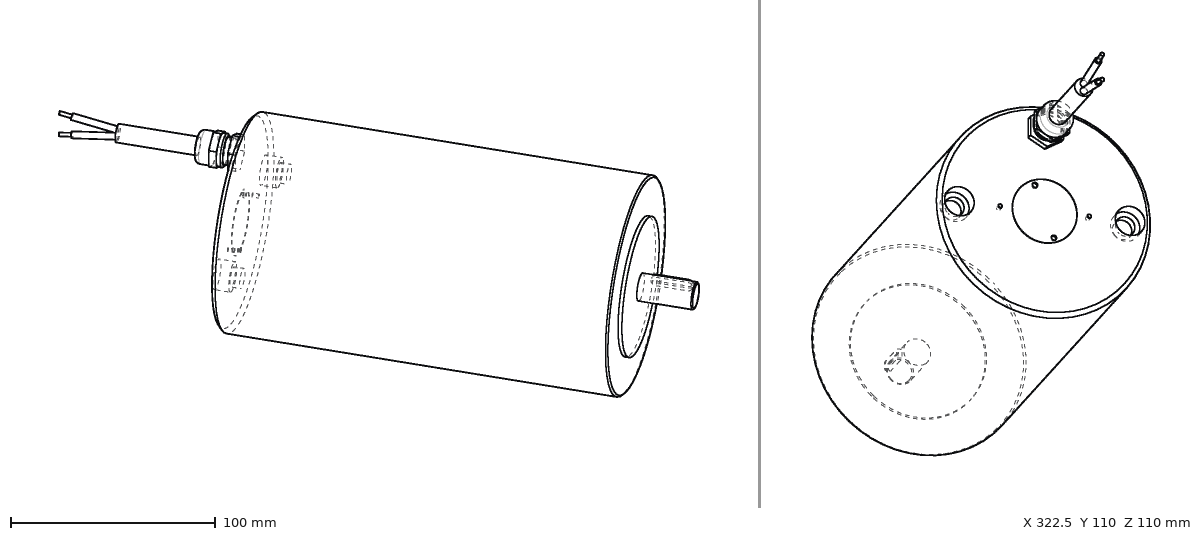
import cadquery as cq
import math

TOTAL_LENGTH = 322.5

BODY_DIAMETER = 110.0
BODY_REAR_X = 91.5
BODY_FRONT_X = 292.5
REAR_CHAMFER = 2.3
FRONT_CHAMFER = 1.0

PILOT_DIAMETER = 70.0
PILOT_HEIGHT = 2.0
SHAFT_DIAMETER = 14.0
SHAFT_CHAMFER = 0.5

KEY_START_X = 297.5
KEY_LENGTH = 21.3
KEY_WIDTH = 5.0
KEY_TOP_Y = 9.5
KEY_CHAMFER = 0.5

COVER_DIAMETER = 33.2
COVER_RECESS = 0.3
COVER_HOLE_DIAMETER = 2.6
COVER_HOLE_DEPTH = 1.5
COVER_HOLE_Y = 4.8
COVER_HOLE_Z = 13.2
SMALL_HOLE_DIAMETER = 2.0
SMALL_HOLE_DEPTH = 3.2
SMALL_HOLE_Y = 23.0
SCREW_HOLE_DIAMETER = 10.0
SCREW_HOLE_DEPTH = 13.0
COUNTERBORE_DIAMETER = 15.0
COUNTERBORE_DEPTH = 8.0
SCREW_HOLE_Y = 44.0

GLAND_Z = 42.2
GLAND_DIAMETER = 17.0
GLAND_REAR_X = 70.3
GLAND_REAR_FILLET = 2.5
GLAND_FRONT_X = 84.8
GLAND_FRONT_CHAMFER = 1.0
GLAND_NECK_DIAMETER = 14.0
HEX_ACROSS_FLATS = 17.0
CAP_NUT_X = 78.0
CAP_NUT_LENGTH = 4.0
LOCK_NUT_X = 87.7

CABLE_DIAMETER = 9.5
CABLE_REAR_X = 29.7
WIRE_DIAMETER = 3.5
CONDUCTOR_DIAMETER = 2.0
CONDUCTOR_LENGTH = 6.5
WIRE_OFFSET = 2.0
WIRE_TILT = 9.0
WIRE_EMBED = 1.5


def rod(diameter, start_x, end_x, y=0.0, z=0.0):
    """Round bar parallel to X."""
    section = cq.Workplane("YZ", origin=(start_x, y, z)).circle(diameter / 2)
    return section.extrude(end_x - start_x)


def hex_nut(start_x, end_x):
    """Hexagonal collar of the gland, with corners pointing along Z."""
    across_corners = HEX_ACROSS_FLATS / math.cos(math.pi / 6)
    section = cq.Workplane("YZ", origin=(start_x, 0, GLAND_Z)).transformed(rotate=(0, 0, 90))
    return section.polygon(6, across_corners).extrude(end_x - start_x)


def motor_body():
    body = rod(BODY_DIAMETER, BODY_REAR_X, BODY_FRONT_X)
    body = body.faces("<X").chamfer(REAR_CHAMFER)
    body = body.faces(">X").chamfer(FRONT_CHAMFER)
    return body.union(rod(PILOT_DIAMETER, BODY_FRONT_X, BODY_FRONT_X + PILOT_HEIGHT))


def shaft():
    return rod(SHAFT_DIAMETER, BODY_FRONT_X, TOTAL_LENGTH).faces(">X").chamfer(SHAFT_CHAMFER)


def shaft_key():
    middle_x = KEY_START_X + KEY_LENGTH / 2
    key = cq.Workplane("XZ", origin=(middle_x, 0, 0)).slot2D(KEY_LENGTH, KEY_WIDTH).extrude(-KEY_TOP_Y)
    return key.faces(">Y").chamfer(KEY_CHAMFER)


def rear_hole(diameter, depth, y=0.0, z=0.0):
    return rod(diameter, BODY_REAR_X, BODY_REAR_X + depth, y, z)


def rear_face_cuts():
    cuts = rear_hole(COVER_DIAMETER, COVER_RECESS)
    for side in (-1, 1):
        hole_y = side * COVER_HOLE_Y
        hole_z = side * COVER_HOLE_Z
        cuts = cuts.union(rear_hole(COVER_HOLE_DIAMETER, COVER_HOLE_DEPTH, hole_y, hole_z))
        cuts = cuts.union(rear_hole(SMALL_HOLE_DIAMETER, SMALL_HOLE_DEPTH, side * SMALL_HOLE_Y))
        cuts = cuts.union(rear_hole(COUNTERBORE_DIAMETER, COUNTERBORE_DEPTH, side * SCREW_HOLE_Y))
        cuts = cuts.union(rear_hole(SCREW_HOLE_DIAMETER, SCREW_HOLE_DEPTH, side * SCREW_HOLE_Y))
    return cuts


def cable_gland():
    barrel = rod(GLAND_DIAMETER, GLAND_REAR_X, GLAND_FRONT_X, z=GLAND_Z)
    barrel = barrel.faces("<X").edges().fillet(GLAND_REAR_FILLET)
    barrel = barrel.faces(">X").chamfer(GLAND_FRONT_CHAMFER)
    neck = rod(GLAND_NECK_DIAMETER, GLAND_FRONT_X, BODY_REAR_X, z=GLAND_Z)
    cap_nut = hex_nut(CAP_NUT_X, CAP_NUT_X + CAP_NUT_LENGTH)
    lock_nut = hex_nut(LOCK_NUT_X, BODY_REAR_X)
    return barrel.union(neck).union(cap_nut).union(lock_nut)


def wire(side):
    """One wire leaving the cable end, spreading up (side = 1) or down (side = -1)."""
    tilt = math.radians(WIRE_TILT)
    tip_x = CONDUCTOR_DIAMETER / 2 * math.sin(tilt)
    length = (CABLE_REAR_X - tip_x) / math.cos(tilt)
    conductor = rod(CONDUCTOR_DIAMETER, -length, 0)
    insulation = rod(WIRE_DIAMETER, CONDUCTOR_LENGTH - length, WIRE_EMBED)
    strand = conductor.union(insulation).rotate((0, 0, 0), (0, 1, 0), side * WIRE_TILT)
    return strand.translate((CABLE_REAR_X, 0, GLAND_Z + side * WIRE_OFFSET))


def cable():
    sheath = rod(CABLE_DIAMETER, CABLE_REAR_X, GLAND_REAR_X, z=GLAND_Z)
    return sheath.union(wire(1)).union(wire(-1))


result = motor_body().cut(rear_face_cuts())
for piece in (shaft(), shaft_key(), cable_gland(), cable()):
    result = result.union(piece)